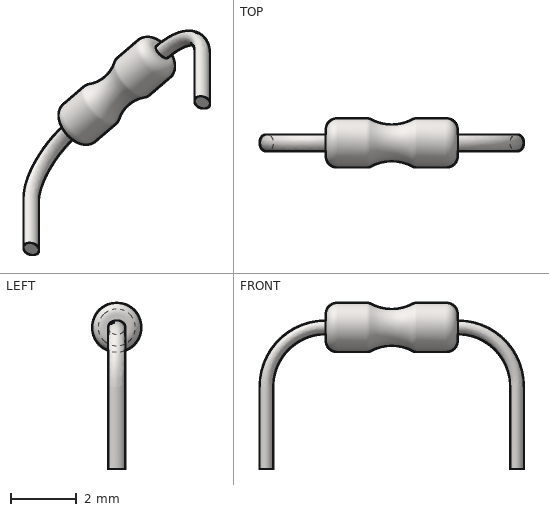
import cadquery as cq
import math

span = 8.04
height = 5.06

body_length = 4.02
body_radius = 1.5 / 2
end_round = 0.35
waist_radius = 0.56
waist_half_width = 0.755
groove_half_width = 0.635

lead_thickness = 0.43
lead_width = 0.52

body_half = body_length / 2
axis_z = height - body_radius
lead_x = (span - lead_thickness) / 2
bend_radius = lead_x - body_half
leg_length = axis_z - bend_radius

waist_depth = body_radius - waist_radius
slope = 2 * math.atan(waist_depth / waist_half_width)
groove_arc_radius = groove_half_width / math.sin(slope)
shoulder_arc_radius = (waist_half_width - groove_half_width) / math.sin(slope)


def groove_point(angle):
    """Point on the concave arc, at an angle from the middle of the waist."""
    x = groove_arc_radius * math.sin(angle)
    radius = waist_radius + groove_arc_radius * (1 - math.cos(angle))
    return (x, radius)


def shoulder_point(angle):
    """Point on the convex arc, at an angle from its tangency with the barrel."""
    x = waist_half_width - shoulder_arc_radius * math.sin(angle)
    radius = body_radius - shoulder_arc_radius * (1 - math.cos(angle))
    return (x, radius)


def mirrored(point):
    return (-point[0], point[1])


def make_body():
    """Barrel with rounded ends and a smooth waist, turned about X."""
    groove_end = groove_point(slope)
    shoulder_middle = shoulder_point(slope / 2)
    profile = (
        cq.Workplane("XZ")
        .moveTo(-body_half, 0)
        .lineTo(-body_half, body_radius)
        .lineTo(-waist_half_width, body_radius)
        .threePointArc(mirrored(shoulder_middle), mirrored(groove_end))
        .threePointArc((0, waist_radius), groove_end)
        .threePointArc(shoulder_middle, (waist_half_width, body_radius))
        .lineTo(body_half, body_radius)
        .lineTo(body_half, 0)
        .close()
    )
    barrel = profile.revolve(360, (0, 0, 0), (1, 0, 0))
    rounded = barrel.faces("<X or >X").edges().fillet(end_round)
    return rounded.translate((0, 0, axis_z))


def make_lead(side):
    """Straight leg and quarter bend ending on the body face; side is -1 or 1."""
    path = (
        cq.Workplane("XZ")
        .moveTo(side * lead_x, 0)
        .lineTo(side * lead_x, leg_length)
        .radiusArc((side * body_half, axis_z), -side * bend_radius)
    )
    section = (
        cq.Workplane("XY")
        .center(side * lead_x, 0)
        .ellipse(lead_thickness / 2, lead_width / 2)
    )
    return section.sweep(path)


body = make_body()
leads = [make_lead(side) for side in (-1, 1)]

result = cq.Compound.makeCompound([body.val(), *[lead.val() for lead in leads]])